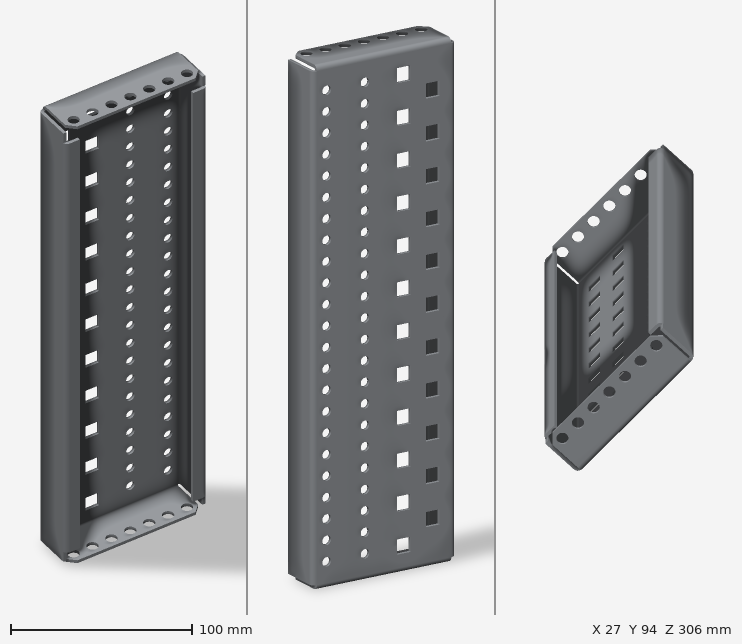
import cadquery as cq

depth = 27.0
width = 94.0
height = 306.0

sheet = 2.0
bend_radius = 3.0

side_flange_depth = 24.8
lip_width = 9.5
lip_end_gap = 9.8
flange_corner_chamfer = 5.0

row_count = 23
row_span = 275.0
pitch = row_span / (row_count - 1)
plate_hole_diameter = 5.5
square_size = 9.0
plate_hole_columns = (3 * pitch, pitch)
odd_square_column = -13.0
even_square_column = -31.8
end_hole_count = 7
end_hole_diameter = 6.7
end_hole_setback = 6.0

cut_margin = 3.0


def channel_solid(across, length):
    """Solid block with its base on X = 0 and both long base edges rounded as bends."""
    block = cq.Workplane("XY").box(depth, across, length).translate((depth / 2, 0, 0))
    return block.edges("|Z and <X").fillet(bend_radius)


def side_channel():
    """C-section along Z: base plate, both side flanges and their inward lips."""
    length = height - 2 * bend_radius
    inner_radius = bend_radius - sheet
    outer = channel_solid(width, length).edges("|Z and >X").fillet(bend_radius)
    inner = (
        cq.Workplane("XY")
        .box(depth - 2 * sheet, width - 2 * sheet, length)
        .edges("|Z")
        .fillet(inner_radius)
        .translate((depth / 2, 0, 0))
    )
    mouth = (
        cq.Workplane("XY")
        .box(depth, width - 2 * lip_width, length)
        .translate((depth, 0, 0))
    )
    channel = outer.cut(inner).cut(mouth)
    return channel.cut(lip_end_notches())


def lip_end_notches():
    """Blocks that clear the lips and their bends near both ends of the side flanges."""
    block = cq.Workplane("XY").box(depth, width + cut_margin, 2 * lip_end_gap)
    center_x = depth - bend_radius + depth / 2
    notches = cq.Workplane("XY")
    for end in (-1, 1):
        notches = notches.add(block.translate((center_x, 0, end * height / 2)))
    return notches.combine()


def lip_free_flange_ends():
    """Straight side flange walls beyond the ends of the lips."""
    wall_length = lip_end_gap - bend_radius
    wall_depth = side_flange_depth - bend_radius
    wall = cq.Workplane("XY").box(wall_depth, sheet, wall_length)
    walls = cq.Workplane("XY")
    for side in (-1, 1):
        for end in (-1, 1):
            center = (
                bend_radius + wall_depth / 2,
                side * (width - sheet) / 2,
                end * (height / 2 - bend_radius - wall_length / 2),
            )
            walls = walls.add(wall.translate(center))
    return walls.combine()


def end_channel():
    """U-section along Y: base plate and both end flanges with chamfered corners."""
    length = width - 2 * bend_radius
    outer = channel_solid(height, length)
    inner = (
        cq.Workplane("XY")
        .box(depth, height - 2 * sheet, length)
        .edges("|Z and <X")
        .fillet(bend_radius - sheet)
        .translate((sheet + depth / 2, 0, 0))
    )
    channel = outer.cut(inner).rotate((0, 0, 0), (1, 0, 0), 90)
    return channel.edges("|Z and >X").chamfer(flange_corner_chamfer)


def plate_cutters():
    """Round and square cutters through the base plate, short of the lips."""
    plane = cq.Workplane("YZ").workplane(offset=-cut_margin)
    cut_depth = sheet + 2 * cut_margin
    row_heights = [row_span / 2 - row * pitch for row in range(row_count)]
    round_points = [(y, z) for y in plate_hole_columns for z in row_heights]
    square_points = [(odd_square_column, z) for z in row_heights[0::2]]
    square_points += [(even_square_column, z) for z in row_heights[1::2]]
    rounds = plane.pushPoints(round_points).circle(plate_hole_diameter / 2).extrude(cut_depth)
    squares = plane.pushPoints(square_points).rect(square_size, square_size).extrude(cut_depth)
    return rounds.add(squares).combine()


def end_hole_cutters():
    """Row of round cutters passing through both end flanges."""
    return (
        cq.Workplane("XY")
        .center(depth - end_hole_setback, 0)
        .rarray(3, pitch, 1, end_hole_count)
        .circle(end_hole_diameter / 2)
        .extrude(height / 2 + cut_margin, both=True)
    )


shell = side_channel().union(lip_free_flange_ends()).union(end_channel())
result = shell.cut(plate_cutters()).cut(end_hole_cutters())